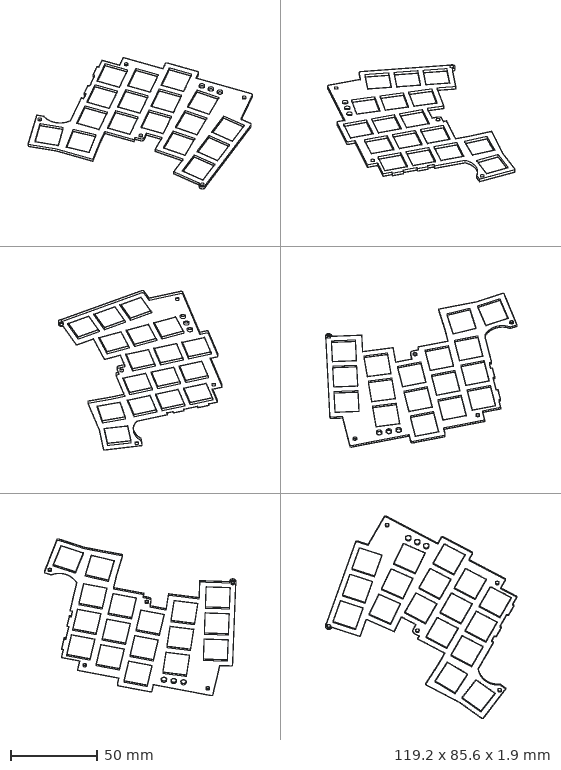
import cadquery as cq
import math

thickness = 1.9
opening = 13.8
rows_per_column = 3
rows_span = 34.0
row_pitch = rows_span / (rows_per_column - 1)
end_border = 3.1
column_half_length = (rows_span + opening) / 2 + end_border

column_pitch = 18.0
outer_x = 30.8
middle_x = outer_x + 2 * column_pitch
outer_column = (outer_x, 48.8, 0)
ring_column = (outer_x + column_pitch, 51.5, 0)
middle_column = (middle_x, 58.7, 0)
index_column = (86.0, 48.1, -4)
inner_column = (104.7, 34.5, -10)
columns = [outer_column, ring_column, middle_column, index_column, inner_column]

thumb_keys = [(30.9, 13.1, 3), (11.8, 11.2, 8)]

top_edge = 80.8
right_edge = 112.1
ring_left = 32.1
outer_left = 21.2
outer_top = 74.5
middle_half_width = 10.3
middle_left = middle_x - middle_half_width
middle_right = middle_x + middle_half_width
middle_top = middle_column[1] + column_half_length
middle_bottom = middle_column[1] - column_half_length
ring_bottom = ring_column[1] - column_half_length
ring_right = 59.4
wrist_left = 19.8
wrist_top = 43.8
board_bottom = 47.7

tab_depth = 1.1
upper_tab = (62.4, 69.2)
lower_tab = (47.6, 53.9)

thumb_right = 41.4
thumb_bend = 16.5
thumb_corner = (42.1, 2.4)
thumb_bottom_bend = (19.5, thumb_corner[1])
thumb_tip = (2.9, 0.0)
thumb_top_left = (0.0, 22.5)
scoop_start = (wrist_left, 25.3)
scoop_middle = (10.0, 21.0)
scoop_end = (4.2, 23.1)

screw_diameter = 2.1
screw_y = 76.6
lug_screw = (62.0, 28.9)
end_screw = (108.3, 6.5)
screws = [(35.4, screw_y), (end_screw[0], screw_y), lug_screw, (2.7, 20.2), end_screw]
lug_offset = 2.4
lug_corner_radius = 1.5
end_lug_radius = 1.9
window_diameter = 3.2
window_pitch = 5.7
middle_window = (88.0, 76.0)

index_half_width = 10.7
inner_left_width = 10.9
inner_right_width = 10.1

corner_radius = 1.0


def along(frame, right, up):
    """Point at a distance right and up from a tilted frame's centre."""
    x, y, tilt = frame
    cosine = math.cos(math.radians(tilt))
    sine = math.sin(math.radians(tilt))
    return (x + right * cosine - up * sine, y + right * sine + up * cosine)


def square_opening(frame):
    x, y, tilt = frame
    square = cq.Workplane("XY").rect(opening, opening).extrude(thickness)
    return square.rotate((0, 0, 0), (0, 0, 1), tilt).translate((x, y, 0))


def tilted_block(frame, left, right):
    """Rectangular border around a tilted column."""
    half = column_half_length
    corners = [(-left, -half), (right, -half), (right, half), (-left, half)]
    points = [along(frame, across, up) for across, up in corners]
    return cq.Workplane("XY").polyline(points).close().extrude(thickness)


def tab_points(bottom, top):
    """Points of one left edge tab, going up."""
    tip = outer_left - tab_depth
    return [(outer_left, bottom), (tip, bottom), (tip, top), (outer_left, top)]


def round_corner(body, corner, radius):
    """Round the upright edge nearest to a corner of the outline."""
    nearest = cq.selectors.NearestToPointSelector((*corner, thickness / 2))
    return body.edges("|Z").edges(nearest).fillet(radius)


def main_body():
    """Sheet around the upright columns and the thumb keys, outlined clockwise."""
    lug_right = lug_screw[0] + lug_offset
    lug_bottom = lug_screw[1] - lug_offset
    upper = [
        (wrist_left, wrist_top), (outer_left, wrist_top),
        *tab_points(*lower_tab), *tab_points(*upper_tab),
        (outer_left, outer_top), (ring_left, outer_top),
        (ring_left, top_edge), (middle_left, top_edge),
        (middle_left, middle_top), (middle_right, middle_top),
        (middle_right, top_edge), (right_edge, top_edge),
    ]
    lower = [
        (right_edge, board_bottom), (middle_right, board_bottom),
        (middle_right, middle_bottom), (lug_right, middle_bottom),
        (lug_right, lug_bottom), (ring_right, lug_bottom),
        (ring_right, ring_bottom), (thumb_right, ring_bottom),
    ]
    thumb = [
        (thumb_right, thumb_bend), thumb_corner, thumb_bottom_bend,
        thumb_tip, thumb_top_left, scoop_end,
    ]
    outline = cq.Workplane("XY").polyline([scoop_start] + upper + lower + thumb)
    body = outline.threePointArc(scoop_middle, scoop_start).close().extrude(thickness)
    rounded = [
        (middle_left, middle_top, corner_radius), (middle_right, middle_top, corner_radius),
        (right_edge, top_edge, corner_radius), (lug_right, lug_bottom, lug_corner_radius),
        (*thumb_tip, corner_radius),
    ]
    for x, y, radius in rounded:
        body = round_corner(body, (x, y), radius)
    return body


plate = main_body()
plate = plate.union(tilted_block(index_column, index_half_width, index_half_width))
inner_block = tilted_block(inner_column, inner_left_width, inner_right_width)
inner_corner = along(inner_column, inner_right_width, column_half_length)
plate = plate.union(round_corner(inner_block, inner_corner, corner_radius))
end_lug = cq.Workplane("XY").center(*end_screw).circle(end_lug_radius).extrude(thickness)
plate = plate.union(end_lug)

for column in columns:
    for row in range(rows_per_column):
        up = row * row_pitch - rows_span / 2
        plate = plate.cut(square_opening((*along(column, 0, up), column[2])))
for key in thumb_keys:
    plate = plate.cut(square_opening(key))

window_row = (*middle_window, index_column[2])
windows = [along(window_row, step * window_pitch, 0) for step in (-1, 0, 1)]
for diameter, centres in [(screw_diameter, screws), (window_diameter, windows)]:
    holes = cq.Workplane("XY").pushPoints(centres).circle(diameter / 2).extrude(thickness)
    plate = plate.cut(holes)

result = plate